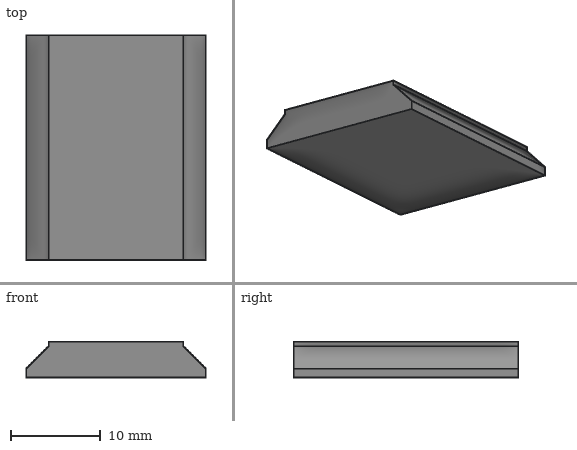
import cadquery as cq

base_width = 20.0
length = 25.0
height = 4.0

foot_height = 1.0
flank_run = 2.5
flank_top = foot_height + flank_run

half_base = base_width / 2
half_top = half_base - flank_run


def make_bar():
    """Extrude the symmetric bevelled cross-section along Y, centred on the origin."""
    right_half = [
        (half_base, 0),
        (half_base, foot_height),
        (half_top, flank_top),
        (half_top, height),
    ]
    left_half = [(-x, z) for x, z in reversed(right_half)]
    return (
        cq.Workplane("XZ")
        .polyline(right_half + left_half)
        .close()
        .extrude(length / 2, both=True)
    )


result = make_bar()